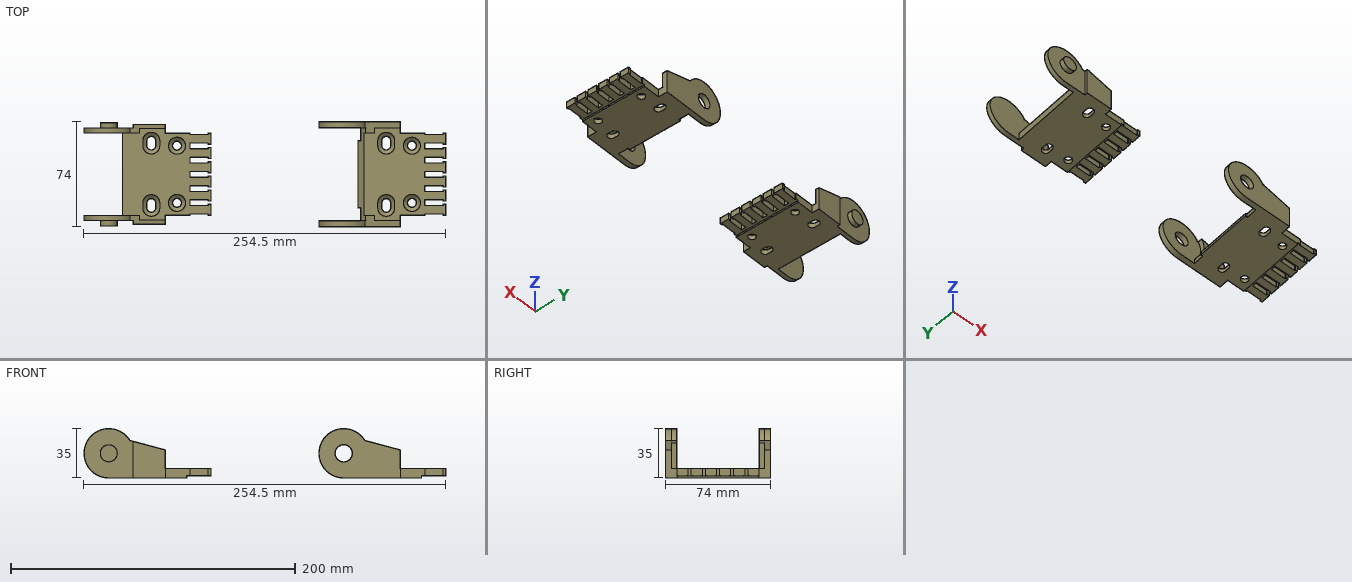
import cadquery as cq
import math


OVERALL_LENGTH = 254.5
OVERALL_WIDTH = 74.0
LINK_LENGTH = 89.4
LINK_SPACING = OVERALL_LENGTH - LINK_LENGTH

EYE_DIAMETER = 35.0
EYE_RADIUS = EYE_DIAMETER / 2
EYE_JOIN_X = 32.3
EYE_JOIN_HEIGHT = EYE_RADIUS + math.sqrt(EYE_RADIUS**2 - (EYE_JOIN_X - EYE_RADIUS) ** 2)
CHEEK_END_X = 57.3
CHEEK_END_HEIGHT = 19.9
PAD_END_X = 39.2

PLATE_WIDTH = 57.8
PLATE_HALF_WIDTH = PLATE_WIDTH / 2
PLATE_THICKNESS = 7.0
FOOT_END_X = 72.3

FINGER_COUNT = 6
FINGER_START_X = 74.5
FINGER_WIDTH = 6.0
FINGER_BOTTOM = 1.5
BARB_WIDTH = 8.0
BARB_LENGTH = 2.0
FINGER_PITCH = (PLATE_WIDTH - BARB_WIDTH) / (FINGER_COUNT - 1)

SCREW_DIAMETER = 6.0
SCREW_HEAD_DIAMETER = 12.0
COUNTERSINK_DEPTH = (SCREW_HEAD_DIAMETER - SCREW_DIAMETER) / 2
HOLE_X = 65.5
HOLE_Y = 20.0
SLOT_X = 47.4
SLOT_Y = 22.0
SLOT_TRAVEL = 3.3

HINGE_DIAMETER = 12.0

PIN_PLATE_START_X = 27.0
PIN_EYE_OUTER_Y = 32.5
PIN_CHEEK_START_X = 34.5
PIN_CHEEK_INNER_Y = 32.0
PIN_CHEEK_OUTER_Y = 35.1
PIN_END_Y = 36.5

HOLE_PLATE_START_X = 29.3
TONGUE_START_X = 27.5
TONGUE_WIDTH = 47.4
HOLE_EYE_INNER_Y = 32.5
HOLE_EYE_OUTER_Y = OVERALL_WIDTH / 2
CLEARANCE_RADIUS = 17.8


def block(x_start, x_end, y_start, y_end, z_start, z_end):
    """Box between two corners."""
    return cq.Workplane("XY").box(
        x_end - x_start, y_end - y_start, z_end - z_start, centered=False
    ).translate((x_start, y_start, z_start))


def disc(radius, y_start, y_end):
    """Cylinder along Y on the hinge axis."""
    return (
        cq.Workplane("XZ", origin=(EYE_RADIUS, y_start, EYE_RADIUS))
        .circle(radius)
        .extrude(y_start - y_end)
    )


def side_wall(y_start, y_end):
    """Eye and cheek in one outline, between two Y positions."""
    return (
        cq.Workplane("XZ", origin=(0, y_start, 0))
        .moveTo(EYE_RADIUS, 0)
        .threePointArc((0, EYE_RADIUS), (EYE_JOIN_X, EYE_JOIN_HEIGHT))
        .lineTo(CHEEK_END_X, CHEEK_END_HEIGHT)
        .lineTo(CHEEK_END_X, 0)
        .close()
        .extrude(y_start - y_end)
    )


def with_mirror(shape):
    """The shape and its mirror image across Y = 0."""
    return shape.union(shape.mirror("XZ"))


def cheek_side(inner_y, outer_y, cheek_inner_y):
    """Side wall that is thinned on the inside behind the pad, above the plate."""
    thinning = block(PAD_END_X, LINK_LENGTH, inner_y, cheek_inner_y, PLATE_THICKNESS, EYE_DIAMETER)
    return side_wall(inner_y, outer_y).cut(thinning)


def comb():
    """Row of fingers with a wider barb at each tip."""
    fingers = cq.Workplane("XY")
    for index in range(FINGER_COUNT):
        y = (index - (FINGER_COUNT - 1) / 2) * FINGER_PITCH
        for width, x_start in (
            (FINGER_WIDTH, FINGER_START_X),
            (BARB_WIDTH, LINK_LENGTH - BARB_LENGTH),
        ):
            fingers = fingers.union(
                block(x_start, LINK_LENGTH, y - width / 2, y + width / 2, FINGER_BOTTOM, PLATE_THICKNESS)
            )
    return fingers


def plate(x_start):
    """Base plate with the comb and, just before it, a lip stepped up from the underside."""
    foot = block(x_start, FOOT_END_X, -PLATE_HALF_WIDTH, PLATE_HALF_WIDTH, 0, PLATE_THICKNESS)
    lip = block(
        x_start, FINGER_START_X, -PLATE_HALF_WIDTH, PLATE_HALF_WIDTH, FINGER_BOTTOM, PLATE_THICKNESS
    )
    return foot.union(lip).union(comb())


def screw_cutter(x, y):
    """Countersunk round hole, cut from the top of the plate."""
    shaft = cq.Workplane("XY").circle(SCREW_DIAMETER / 2).extrude(PLATE_THICKNESS)
    head = (
        cq.Workplane("XY", origin=(0, 0, PLATE_THICKNESS - COUNTERSINK_DEPTH))
        .circle(SCREW_DIAMETER / 2)
        .workplane(offset=COUNTERSINK_DEPTH)
        .circle(SCREW_HEAD_DIAMETER / 2)
        .loft(ruled=True)
    )
    return shaft.union(head).translate((x, y, 0))


def slot_cutter(x, y):
    """Countersunk slot along Y, cut from the top of the plate."""
    shaft_length = SLOT_TRAVEL + SCREW_DIAMETER
    head_length = SLOT_TRAVEL + SCREW_HEAD_DIAMETER
    shaft = cq.Workplane("XY").slot2D(shaft_length, SCREW_DIAMETER, 90).extrude(PLATE_THICKNESS)
    head = (
        cq.Workplane("XY", origin=(0, 0, PLATE_THICKNESS - COUNTERSINK_DEPTH))
        .slot2D(shaft_length, SCREW_DIAMETER, 90)
        .workplane(offset=COUNTERSINK_DEPTH)
        .slot2D(head_length, SCREW_HEAD_DIAMETER, 90)
        .loft(ruled=True)
    )
    return shaft.union(head).translate((x, y, 0))


def cut_screw_holes(link):
    """Two round holes and two slots, mirrored about Y = 0."""
    for side in (-1, 1):
        link = link.cut(screw_cutter(HOLE_X, side * HOLE_Y))
        link = link.cut(slot_cutter(SLOT_X, side * SLOT_Y))
    return link


def make_pin_link():
    """Link with outward pins on its inner eyes and cheeks stepped outward."""
    side = cheek_side(PLATE_HALF_WIDTH, PIN_CHEEK_OUTER_Y, PIN_CHEEK_INNER_Y)
    step = block(0, PIN_CHEEK_START_X, PIN_EYE_OUTER_Y, PIN_CHEEK_OUTER_Y, 0, EYE_DIAMETER)
    pin = disc(HINGE_DIAMETER / 2, PIN_EYE_OUTER_Y, PIN_END_Y)
    sides = with_mirror(side.cut(step).union(pin))
    return cut_screw_holes(plate(PIN_PLATE_START_X).union(sides))


def make_hole_link():
    """Link with holes in its outer eyes, hollowed to clear the neighbour's eyes."""
    side = cheek_side(PLATE_HALF_WIDTH, HOLE_EYE_OUTER_Y, HOLE_EYE_INNER_Y)
    front_gap = block(0, HOLE_PLATE_START_X, PLATE_HALF_WIDTH, HOLE_EYE_INNER_Y, 0, EYE_DIAMETER)
    sides = with_mirror(side.cut(front_gap))
    tongue = block(
        TONGUE_START_X, HOLE_PLATE_START_X, -TONGUE_WIDTH / 2, TONGUE_WIDTH / 2, 0, PLATE_THICKNESS
    )
    link = plate(HOLE_PLATE_START_X).union(tongue).union(sides)
    link = link.cut(disc(CLEARANCE_RADIUS, -HOLE_EYE_INNER_Y, HOLE_EYE_INNER_Y))
    link = link.cut(disc(HINGE_DIAMETER / 2, -HOLE_EYE_OUTER_Y, HOLE_EYE_OUTER_Y))
    return cut_screw_holes(link)


pin_link = make_pin_link()
hole_link = make_hole_link().translate((LINK_SPACING, 0, 0))

result = cq.Compound.makeCompound([pin_link.val(), hole_link.val()])